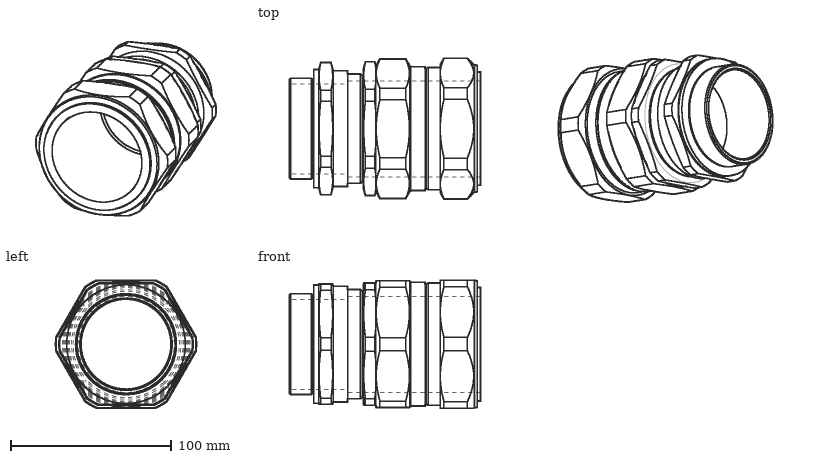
import cadquery as cq
import math


thread_radius = 31.5
thread_chamfer_length = 0.8
thread_chamfer_depth = 0.9
thread_end = 13.7
relief_radius = 30.8
relief_start = 14.4
relief_end = 15.1

flange_radius = 37.0
body_radius = 36.15
body_end = 36.3
sleeve_radius = 34.15
sleeve_end = 44.3
neck_radius = 33.15
neck_start = 45.4
collar_radius = 38.65
collar_end = 84.7
groove_radius = 37.6
groove_end = 85.4
rear_body_radius = 38.2
rear_body_start = 86.6
rim_radius = 39.8
rim_straight_end = 116.0
rim_end_radius = 39.4
rim_end = 117.3
tail_radius = 35.45
total_length = 119.3

lock_nut_start = 18.25
lock_nut_end = 27.5
lock_nut_flats = 75.1
lock_nut_corner_radius = 41.3

thin_nut_start = 46.2
thin_nut_end = 54.0
thin_nut_flats = 76.4
thin_nut_corner_radius = 41.85

middle_nut_start = 54.0
middle_nut_end = 75.2
middle_nut_flats = 79.2
middle_nut_corner_radius = 43.55
middle_nut_washer_radius = 39.0
middle_nut_washer_end = 75.6

rear_nut_start = 94.0
rear_nut_end = 115.2
rear_nut_flats = 80.0
rear_nut_corner_radius = 43.98

shallow_angle = 15.0
medium_angle = 30.0
steep_angle = 45.0
lock_nut_front_chamfer = 1.3
lock_nut_rear_chamfer = 1.5
thin_nut_front_chamfer = 1.2
thin_nut_rear_chamfer = 0.75
middle_nut_front_chamfer = 2.45
middle_nut_rear_chamfer = 2.6
rear_nut_front_chamfer = 2.4
rear_nut_rear_chamfer = 4.2

hex_sides = 6
hex_half_angle = 180.0 / hex_sides

bore_radius = 28.0
bore_mouth_radius = 28.8
bore_mouth_length = 0.8
rear_bore_radius = 30.0
rear_bore_start = body_end


def revolve_profile(points):
    """Solid of revolution about X from (x, radius) points, closed along the axis."""
    axis_start = (points[0][0], 0)
    axis_end = (points[-1][0], 0)
    profile = cq.Workplane("XY").polyline([axis_start] + points + [axis_end]).close()
    return profile.revolve(360, (0, 0, 0), (1, 0, 0))


def hex_nut(start, end, flats, corner_radius, front_chamfer, front_angle, rear_chamfer, rear_angle):
    """Hexagon prism along X with flats facing +Z and -Z, trimmed by a chamfered round blank."""
    across_corners = flats / math.cos(math.radians(hex_half_angle))
    prism = cq.Workplane("YZ", origin=(start, 0, 0)).polygon(hex_sides, across_corners).extrude(end - start)
    front_face_radius = corner_radius - front_chamfer / math.tan(math.radians(front_angle))
    rear_face_radius = corner_radius - rear_chamfer / math.tan(math.radians(rear_angle))
    blank = revolve_profile([
        (start, front_face_radius),
        (start + front_chamfer, corner_radius),
        (end - rear_chamfer, corner_radius),
        (end, rear_face_radius),
    ])
    return prism.intersect(blank)


def round_body():
    """All the round sections, running through the nuts as one turned profile."""
    return revolve_profile([
        (0, thread_radius - thread_chamfer_depth),
        (thread_chamfer_length, thread_radius),
        (thread_end, thread_radius),
        (relief_start, relief_radius),
        (relief_end, relief_radius),
        (relief_end, flange_radius),
        (lock_nut_start, flange_radius),
        (lock_nut_start, body_radius),
        (body_end, body_radius),
        (body_end, sleeve_radius),
        (sleeve_end, sleeve_radius),
        (neck_start, neck_radius),
        (middle_nut_start, neck_radius),
        (middle_nut_start, middle_nut_washer_radius),
        (middle_nut_washer_end, middle_nut_washer_radius),
        (middle_nut_washer_end, collar_radius),
        (collar_end, collar_radius),
        (collar_end, groove_radius),
        (groove_end, groove_radius),
        (rear_body_start, rear_body_radius),
        (rear_nut_start, rear_body_radius),
        (rear_nut_start, rim_radius),
        (rim_straight_end, rim_radius),
        (rim_end, rim_end_radius),
        (rim_end, tail_radius),
        (total_length, tail_radius),
    ])


def bore():
    """Through bore with a chamfered mouth and a wider rear length."""
    return revolve_profile([
        (0, bore_mouth_radius),
        (bore_mouth_length, bore_radius),
        (rear_bore_start, bore_radius),
        (rear_bore_start, rear_bore_radius),
        (total_length, rear_bore_radius),
    ])


lock_nut = hex_nut(
    lock_nut_start, lock_nut_end, lock_nut_flats, lock_nut_corner_radius,
    lock_nut_front_chamfer, shallow_angle, lock_nut_rear_chamfer, shallow_angle,
)
thin_nut = hex_nut(
    thin_nut_start, thin_nut_end, thin_nut_flats, thin_nut_corner_radius,
    thin_nut_front_chamfer, shallow_angle, thin_nut_rear_chamfer, shallow_angle,
)
middle_nut = hex_nut(
    middle_nut_start, middle_nut_end, middle_nut_flats, middle_nut_corner_radius,
    middle_nut_front_chamfer, medium_angle, middle_nut_rear_chamfer, medium_angle,
)
rear_nut = hex_nut(
    rear_nut_start, rear_nut_end, rear_nut_flats, rear_nut_corner_radius,
    rear_nut_front_chamfer, medium_angle, rear_nut_rear_chamfer, steep_angle,
)

result = round_body().union(lock_nut).union(thin_nut).union(middle_nut).union(rear_nut).cut(bore())